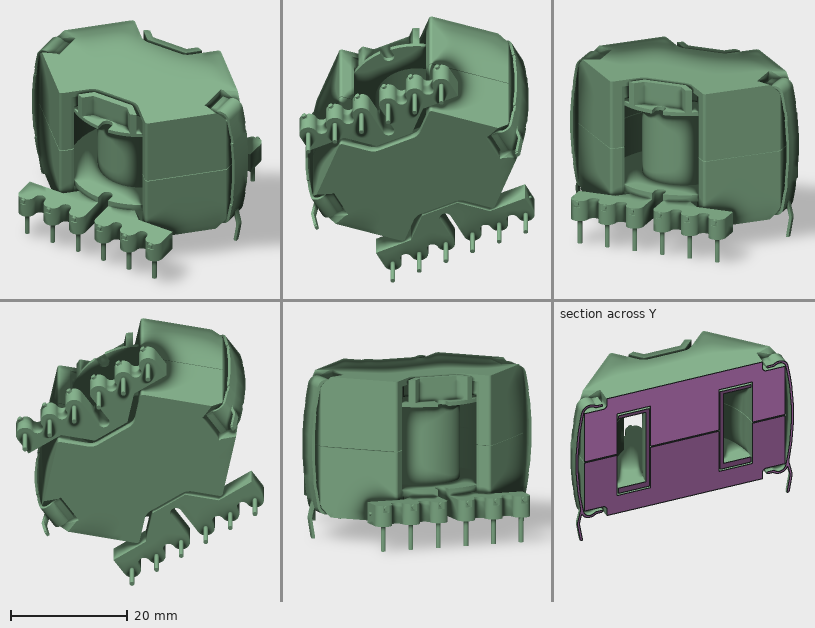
import cadquery as cq
import math


CUTTER_SIZE = 48.6

CORE_HALF_HEIGHT = 12.25
CORE_END_X = 18.67
CORE_DIAGONAL_SUM = 21.05
SLOT_DIAGONAL_GAP = 3.9
SLOT_FLAT_Y = 8.1
SLOT_CORNER_RADIUS = 2.45
LEG_TIP_RADIUS = 0.5
CAVITY_RADIUS = 12.55
CAVITY_DEPTH = 8.45
POST_DIAMETER = 12.8
MATING_GAP = 0.12

LEAD_RECESS_TOP = 11.05
LEAD_RECESS_OUTER_X = 7.1
LEAD_RECESS_INNER_X = 5.2
LEAD_RECESS_INNER_Y = 7.1
LEAD_RECESS_EDGE_RADIUS = 0.53
RIM_SEARCH = 0.05

POCKET_BACK_X = 14.5
POCKET_TOP_WIDTH = 5.5
POCKET_FLOOR_WIDTH = 4.85
POCKET_FLOOR_Z = 10.2
POCKET_FILLET = 0.65
FACET_TOP_X = 17.35
FACET_BACK_X = 15.0
FACET_LOW_Z = 10.55

BARREL_DIAMETER = 14.5
BARREL_BORE = 13.0
FLANGE_DIAMETER = 24.7
TOP_FLANGE_Z = (7.4, 8.1)
BOTTOM_FLANGE_Z = (-8.2, -7.0)
GUIDE_TOP_Z = 12.1
GUIDE_FLAT_Y = 8.85
GUIDE_DIAGONAL_GAP = 5.05
GUIDE_THICKNESS = 1.1
ARM_TOP_Z = BOTTOM_FLANGE_Z[0]
ARM_BOTTOM_Z = -11.83
ARM_INNER_Y = 13.05
ARM_DIAGONAL_GAP = 5.5
PINS_PER_ROW = 6
PIN_ROW_SPAN = 25.4
PIN_PITCH = PIN_ROW_SPAN / (PINS_PER_ROW - 1)
PIN_ROW_Y = 16.45
LOBE_RADIUS = 1.55
VALLEY_RADIUS = PIN_PITCH / 2 - LOBE_RADIUS
SLOT_END_Y = 10.1
PIN_DIAMETER = 0.8
PIN_BOTTOM_Z = -16.32
BOBBIN_LENGTH = 36.5
STUB_TIP_Y = BOBBIN_LENGTH / 2
STUB_Z = -8.63
STUB_POCKET_SIZE = 1.2
STUB_POCKET_Y = 17.78
KEY_DIAMETER = 0.5
KEY_LENGTH = 0.4
KEY_Y = -14.75
KEY_Z = -9.95

CLIP_OUTER_X = 20.25
CLIP_THICKNESS = 0.5
CLIP_WIDTH = 4.55
CLIP_BOW_RADIUS = 51.05
CLIP_CORNER_RADIUS = 1.6
CLIP_TOP_Z = 11.75
CLIP_HOOK_ANGLE = 30.0
CLIP_SLOPE_LENGTH = 0.5
CLIP_FOOT_X = 15.2
CLIP_NOTCH_DEPTH = 0.2
CLIP_NOTCH_HEIGHT = 1.55
CLIP_NOTCH_Z = 6.55
CLIP_NOTCH_REACH = 4.05
LEFT_CLIP_DROP = 0.15
TAB_WIDTH = 0.97
TAB_TIP_WIDTH = 0.73
TAB_TIP_LENGTH = 0.35
TAB_ROOT = (-19.5, -8.83)
TAB_KINK = (-19.35, -9.7)
TAB_BEND = (-20.0, -12.5)
TAB_TIP = (-19.4, -16.15)
TAB_BEND_RADIUS = 1.82


def polyhedron(faces):
    """Solid bounded by flat faces, each given as a list of corner points."""
    walls = []
    for corners in faces:
        points = [cq.Vector(*corner) for corner in corners]
        walls.append(cq.Face.makeFromWires(cq.Wire.makePolygon(points, close=True)))
    return cq.Workplane(obj=cq.Solid.makeSolid(cq.Shell.makeShell(walls)))


def core_blank():
    """Plate and legs as one block with a slot on each long side."""
    tip_x = (CORE_DIAGONAL_SUM - SLOT_DIAGONAL_GAP) / 2
    tip_y = CORE_DIAGONAL_SUM - tip_x
    end_y = CORE_DIAGONAL_SUM - CORE_END_X
    slot_x = SLOT_FLAT_Y - SLOT_DIAGONAL_GAP
    quarter = [(CORE_END_X, end_y), (tip_x, tip_y), (slot_x, SLOT_FLAT_Y)]
    upper = quarter + [(-x, y) for x, y in reversed(quarter)]
    outline = upper + [(x, -y) for x, y in reversed(upper)]
    block = cq.Workplane("XY").polyline(outline).close().extrude(CORE_HALF_HEIGHT)
    for sign in (-1, 1):
        for x in (-tip_x, tip_x):
            tip = cq.selectors.NearestToPointSelector((x, sign * tip_y, CORE_HALF_HEIGHT / 2))
            block = block.edges(tip).fillet(LEG_TIP_RADIUS)
        for x in (-slot_x, slot_x):
            corner = cq.selectors.NearestToPointSelector((x, sign * SLOT_FLAT_Y, CORE_HALF_HEIGHT / 2))
            block = block.edges(corner).fillet(SLOT_CORNER_RADIUS)
    return block


def lead_recess():
    """Tapered space that widens the slot on the -Y side and opens the cavity to it."""
    outer_y = LEAD_RECESS_OUTER_X + SLOT_DIAGONAL_GAP
    outline = [
        (-LEAD_RECESS_OUTER_X, -outer_y),
        (-LEAD_RECESS_INNER_X, -LEAD_RECESS_INNER_Y),
        (LEAD_RECESS_INNER_X, -LEAD_RECESS_INNER_Y),
        (LEAD_RECESS_OUTER_X, -outer_y),
    ]
    return cq.Workplane("XY").polyline(outline).close().extrude(LEAD_RECESS_TOP)


def clip_pocket():
    """Pocket at the top of the +X end, with a sloping facet on each side."""
    section = [
        (-POCKET_FLOOR_WIDTH / 2, POCKET_FLOOR_Z),
        (POCKET_FLOOR_WIDTH / 2, POCKET_FLOOR_Z),
        (POCKET_TOP_WIDTH / 2, CORE_HALF_HEIGHT),
        (-POCKET_TOP_WIDTH / 2, CORE_HALF_HEIGHT),
    ]
    pocket = (
        cq.Workplane("YZ", origin=(POCKET_BACK_X, 0, 0))
        .polyline(section).close().extrude(CORE_END_X - POCKET_BACK_X)
        .edges("<X and <Z").fillet(POCKET_FILLET)
    )
    outer = (FACET_TOP_X, CORE_DIAGONAL_SUM - FACET_TOP_X, CORE_HALF_HEIGHT)
    inner = (FACET_BACK_X, POCKET_TOP_WIDTH / 2, CORE_HALF_HEIGHT)
    low = (CORE_END_X, CORE_DIAGONAL_SUM - CORE_END_X, FACET_LOW_Z)
    above = (low[0], low[1], CORE_HALF_HEIGHT)
    facet = polyhedron([
        [outer, inner, low],
        [outer, inner, above],
        [outer, low, above],
        [inner, low, above],
    ])
    return pocket.union(facet).union(facet.mirror("XZ"))


def core_half():
    """Upper half of the core: plate, two legs and the round centre post."""
    cavity = (
        cq.Workplane("XY").circle(CAVITY_RADIUS).circle(POST_DIAMETER / 2).extrude(CAVITY_DEPTH)
    )
    recess = lead_recess()
    pocket = clip_pocket()
    plate = core_blank().cut(cavity).cut(recess).cut(recess.mirror("XZ"))
    for sign in (-1, 1):
        rim = cq.selectors.BoxSelector(
            (-LEAD_RECESS_OUTER_X, sign * POST_DIAMETER / 2, CAVITY_DEPTH - RIM_SEARCH),
            (LEAD_RECESS_OUTER_X, sign * CAVITY_RADIUS, CAVITY_DEPTH + RIM_SEARCH),
        )
        plate = plate.edges(rim).fillet(LEAD_RECESS_EDGE_RADIUS)
    gap = cq.Workplane("XY").rect(CUTTER_SIZE, CUTTER_SIZE).extrude(MATING_GAP / 2)
    return plate.cut(pocket).cut(pocket.mirror("YZ")).cut(gap)


def disc(diameter, z_range):
    """Cylinder on the Z axis between the two heights of z_range."""
    bottom, top = z_range
    return cq.Workplane("XY").workplane(offset=bottom).circle(diameter / 2).extrude(top - bottom)


def slot_trapezoid(flat_y, diagonal_gap, outer_y):
    """Outline on the +Y side that opens outwards at 45 degrees from a flat inner end."""
    inner_x = flat_y - diagonal_gap
    outer_x = outer_y - diagonal_gap
    return [(-inner_x, flat_y), (inner_x, flat_y), (outer_x, outer_y), (-outer_x, outer_y)]


def guide_wall():
    """Bent wall on the top flange inside the slot of the core, trimmed to the flange rim."""
    bottom = TOP_FLANGE_Z[0]
    inner_gap = GUIDE_DIAGONAL_GAP + GUIDE_THICKNESS * math.sqrt(2)
    outside = slot_trapezoid(GUIDE_FLAT_Y, GUIDE_DIAGONAL_GAP, FLANGE_DIAMETER)
    inside = slot_trapezoid(GUIDE_FLAT_Y + GUIDE_THICKNESS, inner_gap, FLANGE_DIAMETER)
    base = cq.Workplane("XY").workplane(offset=bottom)
    height = GUIDE_TOP_Z - bottom
    wall = base.polyline(outside).close().extrude(height)
    wall = wall.cut(base.polyline(inside).close().extrude(height))
    return wall.intersect(disc(FLANGE_DIAMETER, (bottom, GUIDE_TOP_Z)))


def pin_xs():
    """Positions of the pins along a row, from -X to +X."""
    return [PIN_PITCH * i - PIN_ROW_SPAN / 2 for i in range(PINS_PER_ROW)]


def pin_arm():
    """Pin block on the +Y side, scalloped between the pins, with its neck under the flange."""
    end_x = pin_xs()[-1] + LOBE_RADIUS
    neck_x = ARM_INNER_Y - ARM_DIAGONAL_GAP
    root_x = GUIDE_FLAT_Y - ARM_DIAGONAL_GAP
    outline = (
        cq.Workplane("XY").workplane(offset=ARM_BOTTOM_Z)
        .moveTo(root_x, GUIDE_FLAT_Y).lineTo(neck_x, ARM_INNER_Y)
        .lineTo(end_x, ARM_INNER_Y).lineTo(end_x, PIN_ROW_Y)
    )
    for x in reversed(pin_xs()):
        outline = outline.threePointArc((x, PIN_ROW_Y + LOBE_RADIUS), (x - LOBE_RADIUS, PIN_ROW_Y))
        if x > pin_xs()[0]:
            valley_x = x - PIN_PITCH / 2
            outline = outline.threePointArc(
                (valley_x, PIN_ROW_Y - VALLEY_RADIUS), (valley_x - VALLEY_RADIUS, PIN_ROW_Y)
            )
    arm = (
        outline.lineTo(-end_x, ARM_INNER_Y).lineTo(-neck_x, ARM_INNER_Y)
        .lineTo(-root_x, GUIDE_FLAT_Y).close().extrude(ARM_TOP_Z - ARM_BOTTOM_Z)
    )
    for x in pin_xs():
        arm = arm.cut(
            cq.Workplane("XY", origin=(x, STUB_POCKET_Y, ARM_TOP_Z - STUB_POCKET_SIZE))
            .box(STUB_POCKET_SIZE, STUB_POCKET_SIZE, STUB_POCKET_SIZE, centered=(True, False, False))
        )
        pin = disc(PIN_DIAMETER, (PIN_BOTTOM_Z, ARM_BOTTOM_Z)).translate((x, PIN_ROW_Y, 0))
        stub = (
            cq.Workplane("XZ", origin=(x, STUB_TIP_Y, STUB_Z))
            .circle(PIN_DIAMETER / 2).extrude(STUB_TIP_Y - PIN_ROW_Y)
        )
        arm = arm.union(pin).union(stub)
    return arm


def wire_slot():
    """Round-ended slot through flanges and pin block on the +Y side."""
    height = TOP_FLANGE_Z[1] - ARM_BOTTOM_Z
    slot_base = cq.Workplane("XY").workplane(offset=ARM_BOTTOM_Z)
    length = PIN_ROW_Y - SLOT_END_Y - VALLEY_RADIUS
    round_end = slot_base.center(0, SLOT_END_Y + VALLEY_RADIUS).circle(VALLEY_RADIUS).extrude(height)
    straight = (
        slot_base.center(0, PIN_ROW_Y - length / 2).rect(2 * VALLEY_RADIUS, length).extrude(height)
    )
    return round_end.union(straight)


def bobbin_body():
    """Barrel with two flanges, guide walls and pin blocks, and a key stud on one pin block."""
    bobbin = disc(BARREL_DIAMETER, (BOTTOM_FLANGE_Z[0], TOP_FLANGE_Z[1]))
    bobbin = bobbin.union(disc(FLANGE_DIAMETER, TOP_FLANGE_Z))
    bobbin = bobbin.union(disc(FLANGE_DIAMETER, BOTTOM_FLANGE_Z))
    side = guide_wall().union(pin_arm())
    slot = wire_slot()
    bobbin = bobbin.union(side).union(side.mirror("XZ"))
    bobbin = bobbin.cut(slot).cut(slot.mirror("XZ"))
    bobbin = bobbin.cut(disc(BARREL_BORE, (BOTTOM_FLANGE_Z[0], TOP_FLANGE_Z[1])))
    end_x = pin_xs()[0] - LOBE_RADIUS
    key = (
        cq.Workplane("YZ", origin=(end_x - KEY_LENGTH, KEY_Y, KEY_Z))
        .circle(KEY_DIAMETER / 2).extrude(2 * KEY_LENGTH)
    )
    return bobbin.union(key)


def clip_strip():
    """Bowed strip with a hook and a level foot at each end."""
    bow_x = CLIP_BOW_RADIUS - CLIP_OUTER_X
    hook_z = CLIP_TOP_Z - CLIP_CORNER_RADIUS
    reach = CLIP_BOW_RADIUS - CLIP_CORNER_RADIUS
    lean = math.asin(hook_z / reach)
    hook_x = bow_x - reach * math.cos(lean)
    turn = math.radians(CLIP_HOOK_ANGLE)
    hook_end = math.pi / 2 + turn
    hook_middle = (lean + hook_end) / 2

    def on_bow(angle, inset):
        radius = CLIP_BOW_RADIUS - inset
        return bow_x - radius * math.cos(angle), radius * math.sin(angle)

    def on_hook(angle, inset):
        radius = CLIP_CORNER_RADIUS - inset
        return hook_x - radius * math.cos(angle), hook_z + radius * math.sin(angle)

    slope_start = on_hook(hook_end, 0)
    knee_x = slope_start[0] + CLIP_SLOPE_LENGTH * math.cos(turn)
    knee_z = slope_start[1] - CLIP_SLOPE_LENGTH * math.sin(turn)
    inner_knee_x = knee_x - CLIP_THICKNESS * math.tan(turn / 2)
    inner_knee_z = knee_z - CLIP_THICKNESS
    upper_half = (
        cq.Workplane("XZ").moveTo(*on_bow(0, 0))
        .threePointArc(on_bow(lean / 2, 0), on_bow(lean, 0))
        .threePointArc(on_hook(hook_middle, 0), slope_start)
        .lineTo(knee_x, knee_z).lineTo(-CLIP_FOOT_X, knee_z)
        .lineTo(-CLIP_FOOT_X, inner_knee_z).lineTo(inner_knee_x, inner_knee_z)
        .lineTo(*on_hook(hook_end, CLIP_THICKNESS))
        .threePointArc(on_hook(hook_middle, CLIP_THICKNESS), on_hook(lean, CLIP_THICKNESS))
        .threePointArc(on_bow(lean / 2, CLIP_THICKNESS), on_bow(0, CLIP_THICKNESS))
        .close().extrude(CLIP_WIDTH / 2, both=True)
    )
    return upper_half.union(upper_half.mirror("XY"))


def clip_tab():
    """Narrow tab that leaves the lower part of the clip and bends down past the core."""
    outer = [TAB_ROOT, TAB_KINK, TAB_BEND, TAB_TIP]
    inner = [(x + CLIP_THICKNESS, z) for x, z in reversed(outer)]
    tab = cq.Workplane("XZ").polyline(outer + inner).close().extrude(TAB_WIDTH / 2, both=True)
    for inset in (0, CLIP_THICKNESS):
        bend = cq.selectors.NearestToPointSelector((TAB_BEND[0] + inset, 0, TAB_BEND[1]))
        tab = tab.edges(bend).fillet(TAB_BEND_RADIUS - inset)
    step = (TAB_WIDTH - TAB_TIP_WIDTH) / 2
    corner = (
        cq.Workplane("XY", origin=(TAB_TIP[0], TAB_TIP_WIDTH / 2, TAB_TIP[1]))
        .box(CUTTER_SIZE, step, TAB_TIP_LENGTH, centered=(True, False, False))
    )
    return tab.cut(corner).cut(corner.mirror("XZ"))


def spring_clip():
    """Spring clip for the -X end, bowed away from the core and hooked over both halves."""
    clip = clip_strip()
    for z in (-CLIP_NOTCH_Z, CLIP_NOTCH_Z):
        for y in (-CLIP_WIDTH / 2, CLIP_WIDTH / 2):
            notch = cq.Workplane("XY").box(CLIP_NOTCH_REACH, 2 * CLIP_NOTCH_DEPTH, CLIP_NOTCH_HEIGHT)
            clip = clip.cut(notch.translate((-CLIP_OUTER_X, y, z)))
    return clip.union(clip_tab())


upper_core = core_half()
lower_core = upper_core.mirror("XY")
bobbin = bobbin_body()
left_clip = spring_clip().translate((0, 0, -LEFT_CLIP_DROP))
right_clip = spring_clip().mirror("YZ")

result = cq.Compound.makeCompound(
    [upper_core.val(), lower_core.val(), bobbin.val(), left_clip.val(), right_clip.val()]
)